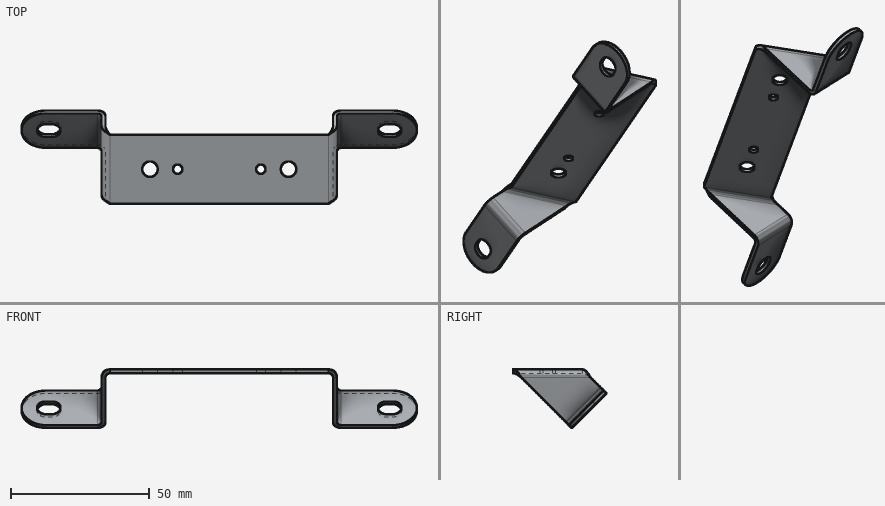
import cadquery as cq
import math

thickness = 1.5
inner_radius = 1.5
outer_radius = inner_radius + thickness

overall_length = 142.68
overall_height = 21.21

plate_width = 25.0
large_hole_diameter = 5.5
large_hole_spacing = 50.0
small_hole_diameter = 3.3
small_hole_spacing = 30.0

web_outer_x = 42.5
web_inner_x = web_outer_x - thickness
slope = math.sqrt(0.5)

ear_width = plate_width * slope
ear_tip_x = overall_length / 2
ear_slot_width = 6.5
ear_slot_travel = 2.0
ear_slot_length = ear_slot_width + ear_slot_travel
ear_round_center_x = ear_tip_x - ear_width / 2

plate_end_x = web_outer_x - outer_radius
bend_shift = outer_radius

web_drop = overall_height - outer_radius - outer_radius * slope
web_end_z = -outer_radius - web_drop

fuse_tolerance = 0.001


def make_plate():
    """Flat top plate with two pairs of round holes."""
    plate = (
        cq.Workplane("XY", origin=(0, 0, -thickness))
        .box(2 * plate_end_x, plate_width, thickness, centered=(True, False, False))
    )
    for diameter, spacing in (
        (large_hole_diameter, large_hole_spacing),
        (small_hole_diameter, small_hole_spacing),
    ):
        holes = (
            cq.Workplane("XY")
            .pushPoints([(-spacing / 2, plate_width / 2), (spacing / 2, plate_width / 2)])
            .circle(diameter / 2)
            .extrude(-thickness)
        )
        plate = plate.cut(holes)
    return plate


def make_upper_bend():
    """Quarter-turn bend from plate to web, its section moving back along Y as it turns."""
    quarter_turns = 4
    helix = cq.Wire.makeHelix(quarter_turns * bend_shift, bend_shift, inner_radius)
    bend = (
        cq.Workplane("XZ")
        .moveTo(inner_radius, 0)
        .rect(thickness, plate_width, centered=False)
        .sweep(cq.Workplane(helix), isFrenet=True)
    )
    bend_axis = cq.Plane(origin=(plate_end_x, 0, -outer_radius), xDir=(0, 0, 1), normal=(0, 1, 0))
    return cq.Workplane(bend.val().moved(bend_axis.location))


def make_web():
    """Parallelogram wall running down and back from the upper bend."""
    return (
        cq.Workplane("YZ", origin=(web_inner_x, 0, 0))
        .moveTo(bend_shift, -outer_radius)
        .lineTo(bend_shift + plate_width, -outer_radius)
        .lineTo(bend_shift + web_drop + plate_width / 2, web_end_z + plate_width / 2)
        .lineTo(bend_shift + web_drop, web_end_z)
        .close()
        .extrude(thickness)
    )


def make_ear():
    """Lower bend and round-ended, slotted ear."""
    front_plane = cq.Plane(
        origin=(0, bend_shift + web_drop, web_end_z), xDir=(1, 0, 0), normal=(0, -1, -1)
    )
    bend_center_x = web_outer_x + inner_radius
    ear = (
        cq.Workplane(front_plane)
        .moveTo(web_inner_x, 0)
        .radiusArc((bend_center_x, -outer_radius), -outer_radius)
        .lineTo(ear_tip_x, -outer_radius)
        .lineTo(ear_tip_x, -inner_radius)
        .lineTo(bend_center_x, -inner_radius)
        .radiusArc((web_outer_x, 0), inner_radius)
        .close()
        .extrude(-ear_width)
    )
    face_origin = front_plane.toWorldCoords((0, -outer_radius, -ear_width / 2))
    face_plane = cq.Plane(origin=face_origin, xDir=(1, 0, 0), normal=(0, -1, 1))
    straight_length = ear_round_center_x - web_inner_x
    outline = (
        cq.Workplane(face_plane)
        .center(web_inner_x, 0)
        .rect(straight_length, ear_width, centered=(False, True))
        .extrude(outer_radius)
        .union(
            cq.Workplane(face_plane)
            .center(ear_round_center_x, 0)
            .circle(ear_width / 2)
            .extrude(outer_radius)
        )
    )
    slot = (
        cq.Workplane(face_plane)
        .center(ear_round_center_x - ear_slot_travel / 2, 0)
        .slot2D(ear_slot_length, ear_slot_width)
        .extrude(thickness)
    )
    return ear.intersect(outline).cut(slot)


arm = make_upper_bend().union(make_web(), tol=fuse_tolerance).union(make_ear())
result = make_plate().union(arm, tol=fuse_tolerance)
result = result.union(arm.mirror("YZ"), tol=fuse_tolerance)